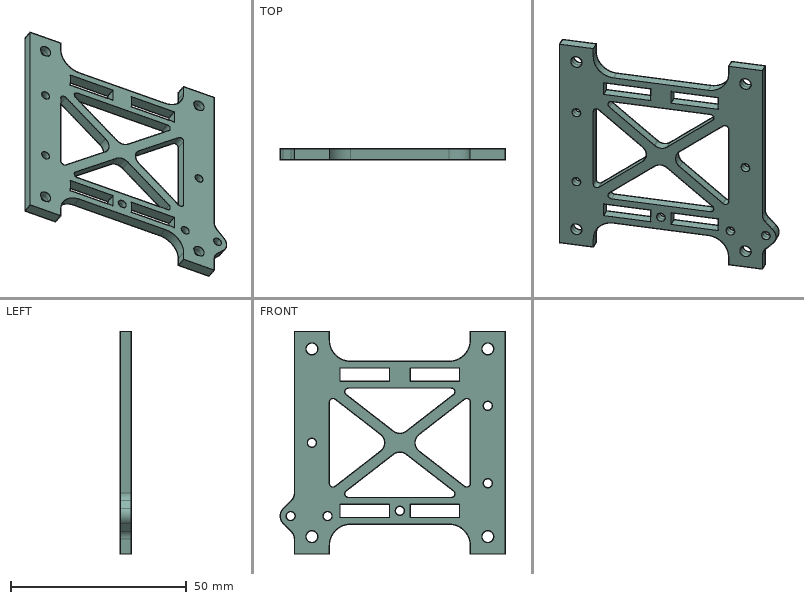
import cadquery as cq
import math

thickness = 3.18
plate_width = 60.0
plate_height = 63.36

leg_width = 10.0
notch_depth = 8.5
notch_radius = 6.0
notch_width = plate_width - 2 * leg_width
bridge_height = plate_height - 2 * notch_depth

window_width = notch_width
window_height = 31.0
brace_width = 3.0
window_corner_radius = 1.0
window_apex_radius = 3.0

rail_width = 2.0
slot_length = 13.95
slot_height = (bridge_height - window_height) / 2 - 2 * rail_width
slot_gap = 6.0
slot_level = (bridge_height + window_height) / 4
slot_offset = (slot_gap + slot_length) / 2

ear_reach = 4.04
ear_radius = 3.0
ear_blend_radius = 3.0
ear_angle = math.radians(45)
ear_center_x = -plate_width / 2 - ear_reach + ear_radius
ear_center_z = -20.84

mount_hole_diameter = 3.3
small_hole_diameter = 2.5
leg_center_x = (plate_width - leg_width) / 2
mount_hole_z = plate_height / 2 - leg_width / 2
right_upper_hole_z = 10.5
right_lower_hole_z = -11.5
ear_hole_spacing = 10.5


def on_plate():
    """Workplane on the middle plane of the plate: local x is X, local y is Z."""
    return cq.Workplane("XZ")


def through(sketch):
    """Extrude closed outlines over the full plate thickness."""
    return sketch.extrude(thickness / 2, both=True)


def make_notch(side):
    """Rounded notch in the top (side=1) or bottom (side=-1) edge."""
    cutter = through(
        on_plate()
        .center(0, side * plate_height / 2)
        .rect(notch_width, 2 * notch_depth)
    )
    return cutter.edges("|Y").fillet(notch_radius)


def make_ear():
    """Ear with a round tip, 45 degree flanks and concave blends into the left edge."""
    edge_x = -plate_width / 2
    root_x = edge_x + leg_width / 2
    tip_x = edge_x - ear_reach
    sin_a = math.sin(ear_angle)
    cos_a = math.cos(ear_angle)

    tip_tangent_x = ear_center_x - ear_radius * cos_a
    tip_tangent_z = ear_radius * sin_a
    blend_start_x = edge_x - ear_blend_radius * (1 - cos_a)
    blend_start_z = tip_tangent_z + (blend_start_x - tip_tangent_x) / math.tan(ear_angle)
    blend_end_z = blend_start_z + ear_blend_radius * sin_a

    blend_mid_x = edge_x - ear_blend_radius * (1 - math.cos(ear_angle / 2))
    blend_mid_z = blend_end_z - ear_blend_radius * math.sin(ear_angle / 2)

    return through(
        on_plate()
        .center(0, ear_center_z)
        .moveTo(root_x, blend_end_z)
        .lineTo(edge_x, blend_end_z)
        .threePointArc((blend_mid_x, blend_mid_z), (blend_start_x, blend_start_z))
        .lineTo(tip_tangent_x, tip_tangent_z)
        .threePointArc((tip_x, 0), (tip_tangent_x, -tip_tangent_z))
        .lineTo(blend_start_x, -blend_start_z)
        .threePointArc((blend_mid_x, -blend_mid_z), (edge_x, -blend_end_z))
        .lineTo(root_x, -blend_end_z)
        .close()
    )


def round_triangle(points, apex_selector, corner_selector):
    """Triangular cutter with a larger radius at the apex than at the outer corners."""
    triangle = through(on_plate().polyline(points).close())
    triangle = triangle.edges("|Y").edges(apex_selector).fillet(window_apex_radius)
    return triangle.edges("|Y").edges(corner_selector).fillet(window_corner_radius)


def make_window():
    """Four triangular openings that leave two crossing diagonal braces."""
    half_width = window_width / 2
    half_height = window_height / 2
    brace_angle = math.atan2(window_height, window_width)
    apex_x = brace_width / 2 / math.sin(brace_angle)
    apex_z = brace_width / 2 / math.cos(brace_angle)
    side_corner_z = half_height - apex_z
    end_corner_x = half_width - apex_x

    right = round_triangle(
        [(apex_x, 0), (half_width, side_corner_z), (half_width, -side_corner_z)],
        "<X",
        ">X",
    )
    upper = round_triangle(
        [(0, apex_z), (end_corner_x, half_height), (-end_corner_x, half_height)],
        "<Z",
        ">Z",
    )
    left = right.mirror("YZ")
    lower = upper.mirror("XY")
    return [right, left, upper, lower]


def make_slots():
    """Four rectangular strap slots."""
    centers = [(i * slot_offset, k * slot_level) for i in (-1, 1) for k in (-1, 1)]
    return through(on_plate().pushPoints(centers).rect(slot_length, slot_height))


def make_holes(diameter, centers):
    """Round through holes of one diameter."""
    return through(on_plate().pushPoints(centers).circle(diameter / 2))


mount_hole_centers = [(i * leg_center_x, k * mount_hole_z) for i in (-1, 1) for k in (-1, 1)]
small_hole_centers = [
    (-leg_center_x, 0),
    (leg_center_x, right_upper_hole_z),
    (leg_center_x, right_lower_hole_z),
    (0, -slot_level),
    (ear_center_x, ear_center_z),
    (ear_center_x + ear_hole_spacing, ear_center_z),
]

plate = through(on_plate().rect(plate_width, plate_height))
plate = plate.union(make_ear())
for notch_side in (1, -1):
    plate = plate.cut(make_notch(notch_side))
for opening in make_window():
    plate = plate.cut(opening)
plate = plate.cut(make_slots())
plate = plate.cut(make_holes(mount_hole_diameter, mount_hole_centers))
plate = plate.cut(make_holes(small_hole_diameter, small_hole_centers))

result = plate